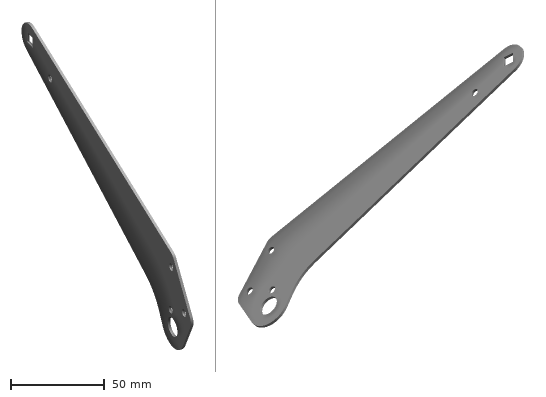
import math

import cadquery as cq

thickness = 1.5875
overall_length = 192.57
overall_height = 109.73

pivot_end_radius = 12.8
tip_radius = 9.55
corner_radius = 6.35
neck_radius = 33.4
neck_angle = 60.8

pivot_center = (0.0, 0.0)
tip_center = (-162.2, overall_height - pivot_end_radius - tip_radius)
right_limit = tip_center[0] - tip_radius + overall_length
right_corner_center = (right_limit - corner_radius, 14.83)
upper_corner_center = (-4.0, 41.3)
underside_angle = 25.05

full_turn = 360.0
straight_down = 270.0

pivot_hole_diameter = 11.11
small_hole_diameter = 4.37
square_side = 6.35
small_hole_centers = [
    (-139.36, 76.28),
    (-1.61, 37.94),
    (13.0, 17.04),
    (-2.2, 9.91),
]


def along(center, radius, angle):
    """Point at a distance from a centre, in the direction of an angle in degrees."""
    direction = math.radians(angle)
    return (center[0] + radius * math.cos(direction), center[1] + radius * math.sin(direction))


def outer_normal(start, start_radius, end, end_radius):
    """Angle of the outward normal of the line touching two circles, left of the travel direction."""
    dx = end[0] - start[0]
    dz = end[1] - start[1]
    taper = math.asin((start_radius - end_radius) / math.hypot(dx, dz))
    return math.degrees(math.atan2(dz, dx) - taper) + 90.0


def line_crossing(first, first_angle, second, second_angle):
    """Crossing of two lines, each given by a point on it and the angle of its normal."""
    n1 = along((0.0, 0.0), 1.0, first_angle)
    n2 = along((0.0, 0.0), 1.0, second_angle)
    d1 = first[0] * n1[0] + first[1] * n1[1]
    d2 = second[0] * n2[0] + second[1] * n2[1]
    determinant = n1[0] * n2[1] - n1[1] * n2[0]
    return ((d1 * n2[1] - d2 * n1[1]) / determinant, (n1[0] * d2 - n2[0] * d1) / determinant)


def plate_outline():
    """Clockwise outline: tangent lines between the rounded corners, with a concave neck."""
    top_normal = outer_normal(tip_center, tip_radius, upper_corner_center, corner_radius)
    slant_normal = outer_normal(upper_corner_center, corner_radius, right_corner_center, corner_radius)
    right_normal = outer_normal(right_corner_center, corner_radius, pivot_center, pivot_end_radius)
    flank_normal = straight_down - neck_angle
    underside_normal = straight_down - underside_angle

    neck_center = line_crossing(
        along(pivot_center, pivot_end_radius + neck_radius, flank_normal),
        flank_normal,
        along(tip_center, tip_radius + neck_radius, underside_normal),
        underside_normal,
    )

    arcs = [
        (upper_corner_center, corner_radius, top_normal, slant_normal),
        (right_corner_center, corner_radius, slant_normal, right_normal),
        (pivot_center, pivot_end_radius, right_normal, flank_normal - full_turn),
        (neck_center, -neck_radius, flank_normal, underside_normal),
        (tip_center, tip_radius, underside_normal, top_normal),
    ]
    outline = cq.Workplane("XZ").moveTo(*along(tip_center, tip_radius, top_normal))
    for center, radius, start_angle, end_angle in arcs:
        middle_angle = (start_angle + end_angle) / 2.0
        outline = outline.lineTo(*along(center, radius, start_angle))
        outline = outline.threePointArc(
            along(center, radius, middle_angle),
            along(center, radius, end_angle),
        )
    return outline.close()


def make_plate():
    """Solid plate from Y = 0 to Y = thickness."""
    return plate_outline().extrude(-thickness)


def make_openings():
    """Cutters for the pivot hole, the small holes and the square drive hole."""
    base = cq.Workplane("XZ")
    pivot_hole = base.center(*pivot_center).circle(pivot_hole_diameter / 2.0).extrude(-thickness)
    small_holes = base.pushPoints(small_hole_centers).circle(small_hole_diameter / 2.0).extrude(-thickness)
    square_hole = base.center(*tip_center).rect(square_side, square_side).extrude(-thickness)
    return [pivot_hole, small_holes, square_hole]


result = make_plate()
for opening in make_openings():
    result = result.cut(opening)